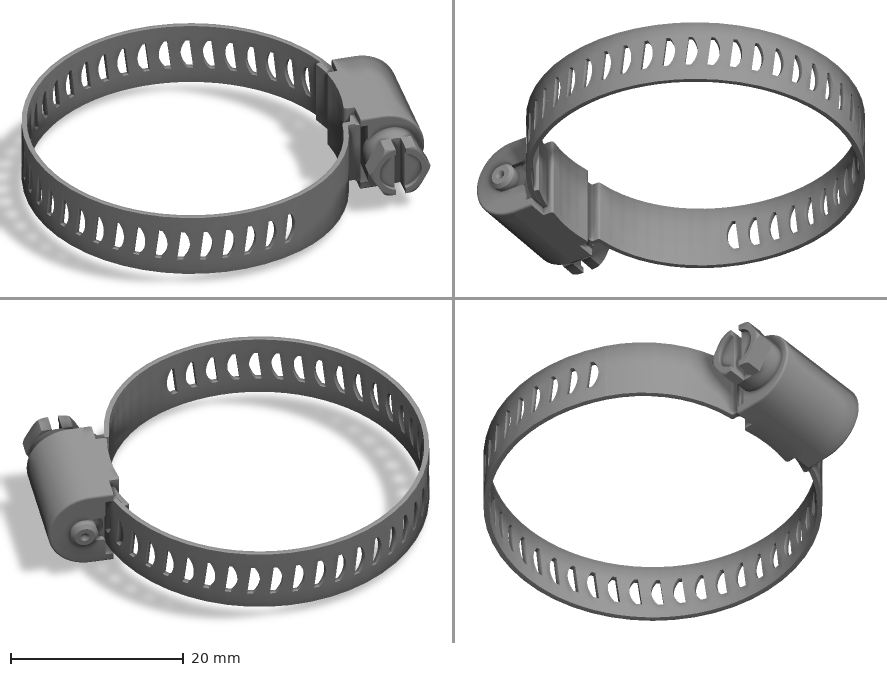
import cadquery as cq
import math


band_thickness = 0.6
band_width = 7.9
ring_outer_radius = 19.635
ring_inner_radius = ring_outer_radius - band_thickness
layer_gap = 0.025
slotted_end_angle = 72.0
seam_angle = 25.0
tail_outer_radius = ring_inner_radius - layer_gap
tail_inner_radius = tail_outer_radius - band_thickness
tail_end_angle = 113.0
plain_outer_radius = 15.75
plain_inner_radius = plain_outer_radius - band_thickness
jog_outer_x = 5.65
jog_inner_x = jog_outer_x - band_thickness
jog_fillet = 0.3

slot_count = 40
slot_pitch_angle = 7.65
first_slot_angle = 20.4
slot_half_height = 1.95
slot_bottom_left = -0.75
slot_bottom_right = -0.05
slot_top_left = -0.28
slot_top_right = 0.15
slot_bulge = 0.75
slot_bulge_height = 0.28

housing_length = 12.68
housing_width = 9.9
housing_top_y = 45.95 - ring_outer_radius
housing_bottom_y = 18.6
housing_round_radius = housing_width / 2
housing_round_y = housing_top_y - housing_round_radius
housing_end_fillet = 0.28
end_wall = 0.6
skirt_length = 7.62
skirt_inner_radius = 17.7
skirt_fillet = 0.3
channel_end_y = 19.5
channel_middle_y = 19.65
tip_slot_flare = 0.5

screw_y = 22.2
tip_radius = 1.6
tip_length = 1.1
tip_chamfer = 0.4
tip_dimple_radius = 0.55
core_radius = 2.5
core_nose_radius = 2.15
neck_radius = 3.15
neck_length = 2.25
head_length = 2.3
head_across_corners = 7.35
head_fillet = 0.5
driver_slot_width = 1.2
head_recess_radius = 2.53
head_recess_depth = 0.55

housing_end_x = housing_length / 2
cavity_end_x = housing_end_x - end_wall


def polar(radius, angle, center=(0, 0)):
    turn = math.radians(angle)
    return (center[0] + radius * math.cos(turn), center[1] + radius * math.sin(turn))


def arc_y(radius, x, center=(0, 0)):
    """Y of the upper side of a circle at the given X."""
    return center[1] + math.sqrt(radius**2 - (x - center[0]) ** 2)


def arc_angle(point, center=(0, 0)):
    return math.degrees(math.atan2(point[1] - center[1], point[0] - center[0]))


def band_strip(outline):
    """Extrude an XY outline over the band's width, centred on Z = 0."""
    return outline.close().extrude(band_width / 2, both=True)


def make_slotted_ring():
    """Ring running clockwise from the seam, around the far side, to the slotted end."""
    middle = (seam_angle + slotted_end_angle - 360) / 2
    ring = band_strip(
        cq.Workplane("XY")
        .moveTo(*polar(ring_outer_radius, seam_angle))
        .threePointArc(polar(ring_outer_radius, middle), polar(ring_outer_radius, slotted_end_angle))
        .lineTo(*polar(ring_inner_radius, slotted_end_angle))
        .threePointArc(polar(ring_inner_radius, middle), polar(ring_inner_radius, seam_angle))
    )
    cutter = (
        cq.Workplane("XZ", origin=(0, -ring_inner_radius + band_thickness, 0))
        .moveTo(slot_bottom_left, -slot_half_height)
        .lineTo(slot_top_left, slot_half_height)
        .lineTo(slot_top_right, slot_half_height)
        .threePointArc((slot_bulge, slot_bulge_height), (slot_bottom_right, -slot_half_height))
        .close()
        .extrude(3 * band_thickness)
    )
    for index in range(slot_count):
        slot_angle = first_slot_angle - index * slot_pitch_angle
        ring = ring.cut(cutter.rotate((0, 0, 0), (0, 0, 1), slot_angle + 90))
    return ring


def make_plain_tail():
    center = polar(ring_outer_radius - plain_outer_radius, seam_angle)
    tail_outer_end = (jog_outer_x, arc_y(tail_outer_radius, jog_outer_x))
    tail_inner_end = (jog_inner_x, arc_y(tail_inner_radius, jog_inner_x))
    plain_outer_start = (jog_outer_x, arc_y(plain_outer_radius, jog_outer_x, center))
    plain_inner_start = (jog_inner_x, arc_y(plain_inner_radius, jog_inner_x, center))
    tail_outer_middle = (arc_angle(tail_outer_end) + tail_end_angle) / 2
    tail_inner_middle = (arc_angle(tail_inner_end) + tail_end_angle) / 2
    plain_outer_middle = (arc_angle(plain_outer_start, center) + seam_angle) / 2
    plain_inner_middle = (arc_angle(plain_inner_start, center) + seam_angle) / 2
    tail = band_strip(
        cq.Workplane("XY")
        .moveTo(*polar(tail_outer_radius, tail_end_angle))
        .threePointArc(polar(tail_outer_radius, tail_outer_middle), tail_outer_end)
        .lineTo(*plain_outer_start)
        .threePointArc(
            polar(plain_outer_radius, plain_outer_middle, center), polar(ring_outer_radius, seam_angle)
        )
        .lineTo(*polar(ring_inner_radius, seam_angle))
        .threePointArc(polar(plain_inner_radius, plain_inner_middle, center), plain_inner_start)
        .lineTo(*tail_inner_end)
        .threePointArc(
            polar(tail_inner_radius, tail_inner_middle), polar(tail_inner_radius, tail_end_angle)
        )
    )
    for corner in (plain_outer_start, plain_inner_start, tail_inner_end):
        edge = cq.selectors.NearestToPointSelector((*corner, 0))
        tail = tail.edges(edge).fillet(jog_fillet)
    return tail


def make_band():
    return make_slotted_ring().union(make_plain_tail())


def x_cylinder(radius, start_x, end_x):
    """Cylinder on the screw axis between two X positions."""
    return cq.Workplane("YZ", origin=(start_x, screw_y, 0)).circle(radius).extrude(end_x - start_x)


def make_housing_shell():
    half_width = housing_width / 2
    shell = (
        cq.Workplane("YZ", origin=(-housing_end_x, 0, 0))
        .moveTo(housing_bottom_y, -half_width)
        .lineTo(housing_round_y, -half_width)
        .threePointArc((housing_top_y, 0), (housing_round_y, half_width))
        .lineTo(housing_bottom_y, half_width)
        .close()
        .extrude(housing_length)
        .faces("<X or >X")
        .edges("not <Y")
        .fillet(housing_end_fillet)
    )
    half_skirt = skirt_length / 2
    skirt_low_y = arc_y(skirt_inner_radius, half_skirt)
    skirt = (
        cq.Workplane("XY")
        .moveTo(-half_skirt, housing_round_y)
        .lineTo(-half_skirt, skirt_low_y)
        .threePointArc((0, skirt_inner_radius), (half_skirt, skirt_low_y))
        .lineTo(half_skirt, housing_round_y)
        .close()
        .extrude(half_width, both=True)
    )
    for corner_x in (-half_skirt, half_skirt):
        edge = cq.selectors.NearestToPointSelector((corner_x, skirt_low_y, 0))
        skirt = skirt.edges(edge).fillet(skirt_fillet)
    return shell.union(skirt)


def make_band_channel():
    """Passage for both band layers, curved along the tail's inner face."""
    floor_end_y = arc_y(tail_inner_radius, housing_end_x)
    return band_strip(
        cq.Workplane("XY")
        .moveTo(-housing_end_x, channel_end_y)
        .lineTo(-housing_end_x, floor_end_y)
        .threePointArc((0, tail_inner_radius), (housing_end_x, floor_end_y))
        .lineTo(housing_end_x, channel_end_y)
        .threePointArc((0, channel_middle_y), (-housing_end_x, channel_end_y))
    )


def make_tip_slot():
    """U-shaped slot in the -X end wall, flaring where it meets the band channel."""
    flare_start_y = channel_end_y + tip_slot_flare
    flare_half_width = tip_radius + tip_slot_flare
    flare_offset = tip_slot_flare * (1 - math.sqrt(0.5))
    flare_middle = (channel_end_y + flare_offset, tip_radius + flare_offset)
    return (
        cq.Workplane("YZ", origin=(-housing_end_x, 0, 0))
        .moveTo(channel_end_y, -flare_half_width)
        .threePointArc((flare_middle[0], -flare_middle[1]), (flare_start_y, -tip_radius))
        .lineTo(screw_y, -tip_radius)
        .threePointArc((screw_y + tip_radius, 0), (screw_y, tip_radius))
        .lineTo(flare_start_y, tip_radius)
        .threePointArc(flare_middle, (channel_end_y, flare_half_width))
        .close()
        .extrude(end_wall)
    )


def make_housing():
    return (
        make_housing_shell()
        .cut(make_band_channel())
        .cut(make_tip_slot())
        .cut(x_cylinder(core_radius, -cavity_end_x, cavity_end_x))
        .cut(x_cylinder(neck_radius, cavity_end_x, housing_end_x))
    )


def make_head(start_x):
    """Hexagonal head with corners toward +Y and -Y, rounded outer corners, an end recess and a driver slot."""
    head_end_x = start_x + head_length
    head = (
        cq.Workplane("YZ", origin=(start_x, screw_y, 0))
        .polygon(6, head_across_corners)
        .extrude(head_length)
    )
    rounding = x_cylinder(head_across_corners / 2, start_x, head_end_x)
    rounding = rounding.faces(">X").edges().fillet(head_fillet)
    driver_slot = cq.Workplane(
        "XY", origin=(start_x + head_length / 2, screw_y, 0)
    ).box(head_length, driver_slot_width, head_across_corners)
    recess = x_cylinder(head_recess_radius, head_end_x - head_recess_depth, head_end_x)
    return head.intersect(rounding).cut(recess).cut(driver_slot)


def make_screw():
    tip_end_x = -housing_end_x - tip_length
    nose_end_x = -cavity_end_x + core_nose_radius - tip_radius
    head_start_x = housing_end_x + neck_length
    shaft_profile = (
        cq.Workplane("XY")
        .moveTo(tip_end_x + tip_dimple_radius, screw_y)
        .lineTo(tip_end_x, screw_y + tip_dimple_radius)
        .lineTo(tip_end_x, screw_y + tip_radius - tip_chamfer)
        .lineTo(tip_end_x + tip_chamfer, screw_y + tip_radius)
        .lineTo(-cavity_end_x, screw_y + tip_radius)
        .lineTo(nose_end_x, screw_y + core_nose_radius)
        .lineTo(nose_end_x, screw_y + core_radius)
        .lineTo(cavity_end_x, screw_y + core_radius)
        .lineTo(cavity_end_x, screw_y + neck_radius)
        .lineTo(head_start_x, screw_y + neck_radius)
        .lineTo(head_start_x, screw_y)
        .close()
    )
    shaft = shaft_profile.revolve(360, (0, screw_y, 0), (1, screw_y, 0))
    return shaft.union(make_head(head_start_x))


band = make_band()
housing = make_housing()
screw = make_screw()

result = cq.Compound.makeCompound([band.solids().val(), housing.solids().val(), screw.solids().val()])